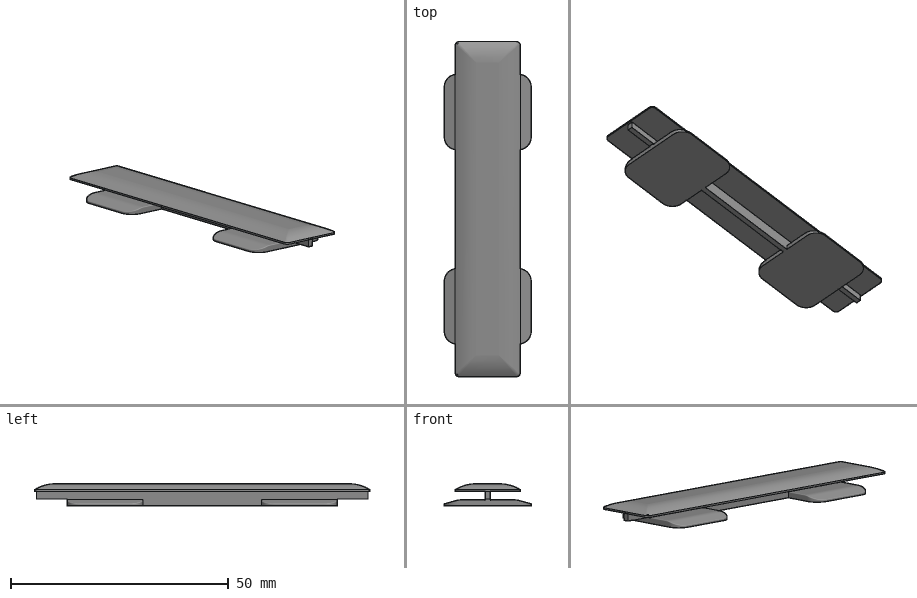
import cadquery as cq

cover_width = 15.0
cover_length = 77.0
cover_top = 5.1
cover_bottom = 3.3
cover_rim = 0.4
dome_run = 4.9
cover_corner_radius = 1.0

web_thickness = 1.2
web_length = 76.2
web_overhang_bottom = 1.5
foot_width = 20.0
foot_length = 17.4
foot_outer_end = 31.0
foot_rim = 0.46
foot_flat_width = 13.2
foot_blend_radius = 5.0
foot_edge_radius = 0.2
foot_height = 1.4
foot_corner_radius = 3.0


def dome_profile(plane, span):
    """Closed section: flat bottom, short upright rims, arcs rising tangent to a flat top."""
    half = span / 2
    flat = half - dome_run
    rim_top = cover_bottom + cover_rim
    rise = cover_top - rim_top
    radius = (dome_run**2 + rise**2) / (2 * rise)
    mid_run = dome_run / 2
    mid_z = cover_top - radius + (radius**2 - mid_run**2) ** 0.5
    return (
        cq.Workplane(plane)
        .moveTo(-half, cover_bottom)
        .lineTo(half, cover_bottom)
        .lineTo(half, rim_top)
        .threePointArc((flat + mid_run, mid_z), (flat, cover_top))
        .lineTo(-flat, cover_top)
        .threePointArc((-flat - mid_run, mid_z), (-half, rim_top))
        .close()
    )


def make_cover():
    """Dome across and dome along meet in mitres, which are rounded together with the upright corners."""
    across = dome_profile("XZ", cover_width).extrude(cover_length / 2, both=True)
    along = dome_profile("YZ", cover_length).extrude(cover_width / 2, both=True)
    strip = across.intersect(along)
    corner_edges = strip.edges("%ELLIPSE").add(strip.edges("|Z"))
    return strip.newObject(corner_edges.vals()).fillet(cover_corner_radius)


def make_foot(center_y):
    """Plate sloping down to both sides, with round corners and a softened top rim."""
    half = foot_width / 2
    flat_half = foot_flat_width / 2
    block = (
        cq.Workplane("XZ", origin=(0, center_y, 0))
        .moveTo(-half, 0)
        .lineTo(half, 0)
        .lineTo(half, foot_rim)
        .lineTo(flat_half, foot_height)
        .lineTo(-flat_half, foot_height)
        .lineTo(-half, foot_rim)
        .close()
        .extrude(foot_length / 2, both=True)
    )
    blended = block.faces(">Z").edges("|Y").fillet(foot_blend_radius)
    rounded = blended.edges("|Z").fillet(foot_corner_radius)
    top_rim = rounded.faces(">Z").edges("|X")
    return top_rim.fillet(foot_edge_radius)


def make_base():
    """Web running under the whole cover, reaching the ground only between the outer foot ends."""
    rail_height = cover_bottom - web_overhang_bottom
    rail = (
        cq.Workplane("XY", origin=(0, 0, web_overhang_bottom))
        .box(web_thickness, web_length, rail_height, centered=(True, True, False))
    )
    web = (
        cq.Workplane("XY")
        .box(web_thickness, 2 * foot_outer_end, cover_bottom, centered=(True, True, False))
    )
    base = rail.union(web)
    foot_center = foot_outer_end - foot_length / 2
    for side in (-1, 1):
        base = base.union(make_foot(side * foot_center))
    return base


cover = make_cover()
base = make_base()
result = cq.Compound.makeCompound([cover.val(), base.val()])